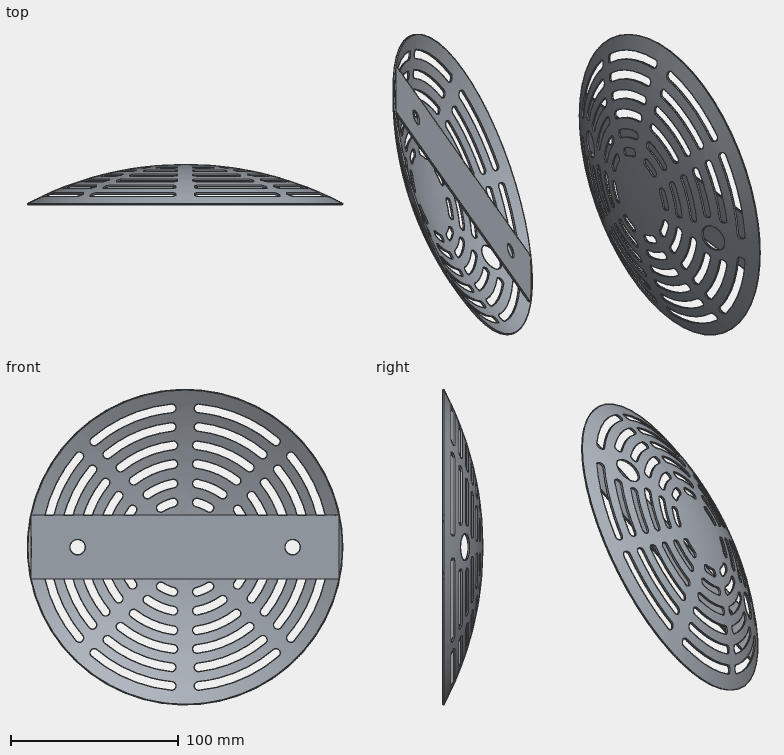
import cadquery as cq
import math

RIM_RADIUS = 94.0
SHEET = 1.0

BAR_LENGTH = 183.4
BAR_WIDTH = 38.0
SCREW_HOLE_DIAMETER = 9.0
ACCESS_HOLE_DIAMETER = 16.0
HOLE_SPACING = 128.0

SLOT_WIDTH = 5.0
DIAGONAL_SPOKE = 7.6
INNER_Z_SPOKE = 9.0
OUTER_Z_SPOKE = 11.0

SLOT_RINGS = [
    (27.5, INNER_Z_SPOKE, 7.0),
    (38.5, INNER_Z_SPOKE, 7.0),
    (50.0, INNER_Z_SPOKE, 11.0),
    (61.0, INNER_Z_SPOKE, 25.0),
    (72.0, OUTER_Z_SPOKE, 26.0),
    (83.0, OUTER_Z_SPOKE, 13.0),
]

INNER_SPHERE = 200.0
OUTER_SPHERE = INNER_SPHERE + SHEET
RIM_TILT = math.asin(RIM_RADIUS / OUTER_SPHERE)
CENTER_Y = -INNER_SPHERE * math.cos(RIM_TILT)
CUT_DEPTH = 50.0


def sphere_point(radius, angle):
    """Point in the XY half plane at an angle from the +Y axis."""
    return (radius * math.sin(angle), CENTER_Y + radius * math.cos(angle))


def make_shell():
    half = RIM_TILT / 2
    profile = (
        cq.Workplane("XY")
        .moveTo(*sphere_point(INNER_SPHERE, 0))
        .lineTo(*sphere_point(OUTER_SPHERE, 0))
        .threePointArc(sphere_point(OUTER_SPHERE, half), sphere_point(OUTER_SPHERE, RIM_TILT))
        .lineTo(*sphere_point(INNER_SPHERE, RIM_TILT))
        .threePointArc(sphere_point(INNER_SPHERE, half), sphere_point(INNER_SPHERE, 0))
        .close()
    )
    return profile.revolve(360, (0, 0, 0), (0, 1, 0))


def polar(radius, angle):
    return (radius * math.cos(angle), radius * math.sin(angle))


def arc_slot(radius, start, end):
    """Round-ended slot along an arc about the Y axis, cut straight along Y."""
    inner = radius - SLOT_WIDTH / 2
    outer = radius + SLOT_WIDTH / 2
    middle = (start + end) / 2
    cap = SLOT_WIDTH / 2 / radius
    return (
        cq.Workplane("XZ")
        .moveTo(*polar(inner, start))
        .threePointArc(polar(inner, middle), polar(inner, end))
        .threePointArc(polar(radius, end + cap), polar(outer, end))
        .threePointArc(polar(outer, middle), polar(outer, start))
        .threePointArc(polar(radius, start - cap), polar(inner, start))
        .close()
        .extrude(-CUT_DEPTH)
    )


def cap_angle(radius, spoke):
    """Angle from a spoke's centreline to the centre of the slot end beside it."""
    return math.asin((spoke + SLOT_WIDTH) / 2 / radius)


def make_quadrant_slots():
    """Slots of the +X +Z quadrant, two per ring."""
    diagonal = math.radians(45)
    slots = []
    for radius, z_spoke, x_spoke in SLOT_RINGS:
        beside_diagonal = cap_angle(radius, DIAGONAL_SPOKE)
        from_x = cap_angle(radius, x_spoke)
        from_z = math.radians(90) - cap_angle(radius, z_spoke)
        slots.append(arc_slot(radius, from_x, diagonal - beside_diagonal))
        slots.append(arc_slot(radius, diagonal + beside_diagonal, from_z))
    return slots


def cut_slots(shell):
    for slot in make_quadrant_slots():
        mirrored = slot.mirror("YZ")
        for tool in (slot, mirrored, slot.mirror("XY"), mirrored.mirror("XY")):
            shell = shell.cut(tool)
    return shell


def hole_pair(diameter):
    half = HOLE_SPACING / 2
    return (
        cq.Workplane("XZ")
        .pushPoints([(-half, 0), (half, 0)])
        .circle(diameter / 2)
        .extrude(-CUT_DEPTH)
    )


def make_bar():
    bar = cq.Workplane("XZ").rect(BAR_LENGTH, BAR_WIDTH).extrude(-SHEET)
    return bar.cut(hole_pair(SCREW_HOLE_DIAMETER))


shell = cut_slots(make_shell()).cut(hole_pair(ACCESS_HOLE_DIAMETER))
result = shell.union(make_bar())